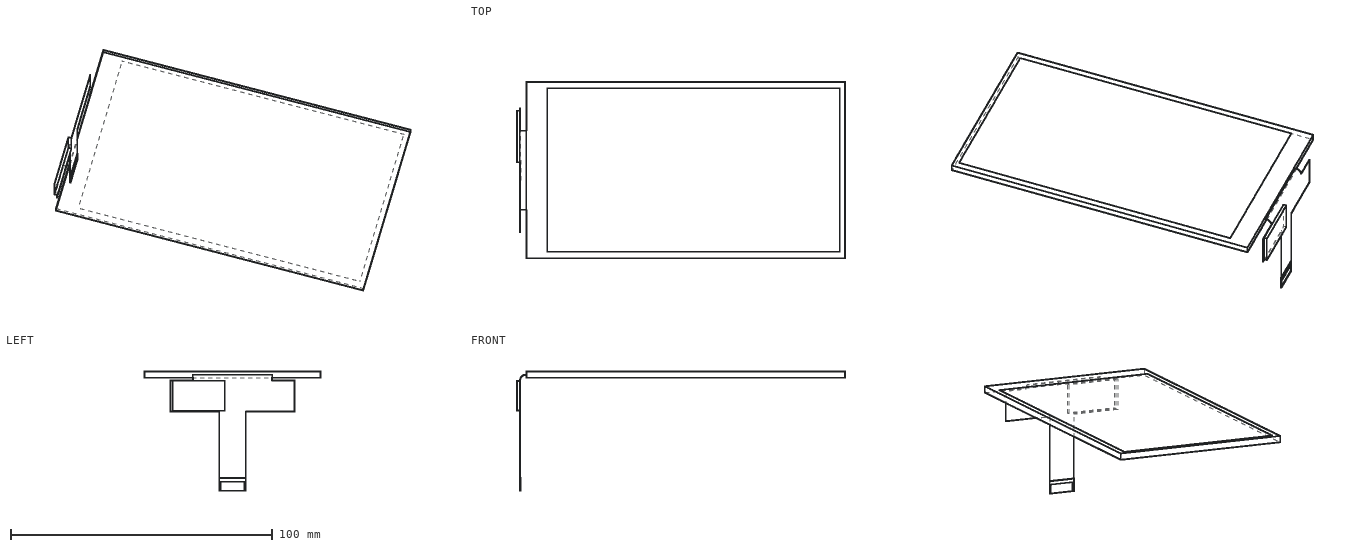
import cadquery as cq


total_length = 125.81
panel_length = 122.16
panel_width = 67.56
panel_thickness = 2.5

window_margin_left = 8.1
window_margin_right = 2.1
window_margin_side = 2.45
window_depth = 0.05

flex_thickness = 0.1
flex_top_drop = 1.25
bend_radius = 2.2
neck_width = 30.4
neck_overlap = 0.5

total_height = 45.77
crossbar_width = 47.5
crossbar_bottom_drop = 15.4
tail_width = 10.2

block_width = 19.9
block_height = 11.4
block_thickness = 1.2
block_top_gap = 0.15
block_side_gap = 0.9

stiffener_height = 5.0
stiffener_thickness = 0.2
bare_height = 4.8
cover_thickness = 0.03
contact_height = 3.5
contact_width = 9.1

flex_outer_x = block_thickness - (total_length - panel_length)
flex_inner_x = flex_outer_x + flex_thickness
flex_top_z = panel_thickness - flex_top_drop
bend_bottom_z = flex_top_z - bend_radius
crossbar_bottom_z = panel_thickness - crossbar_bottom_drop
tail_bottom_z = panel_thickness - total_height


def box(x_range, y_range, z_range):
    """Axis-aligned box between the given limits."""
    sizes = [high - low for low, high in (x_range, y_range, z_range)]
    corner = (x_range[0], y_range[0], z_range[0])
    return cq.Workplane("XY").box(*sizes, centered=False).translate(corner)


def centred(width):
    """Y limits of a feature centred on the part."""
    return (-width / 2, width / 2)


def make_panel():
    panel = box((0, panel_length), centred(panel_width), (0, panel_thickness))
    window = box(
        (window_margin_left, panel_length - window_margin_right),
        centred(panel_width - 2 * window_margin_side),
        (panel_thickness - window_depth, panel_thickness),
    )
    return panel.cut(window)


def make_bend():
    """Quarter-round strip joining the panel edge to the hanging sheet."""
    bend_end_x = flex_outer_x + bend_radius
    inner_radius = bend_radius - flex_thickness
    return (
        cq.Workplane("XZ", origin=(0, neck_width / 2, 0))
        .moveTo(neck_overlap, flex_top_z)
        .lineTo(bend_end_x, flex_top_z)
        .radiusArc((flex_outer_x, bend_bottom_z), -bend_radius)
        .lineTo(flex_inner_x, bend_bottom_z)
        .radiusArc((bend_end_x, flex_top_z - flex_thickness), inner_radius)
        .lineTo(neck_overlap, flex_top_z - flex_thickness)
        .close()
        .extrude(neck_width)
    )


def make_hanging_sheet():
    sheet_x = (flex_outer_x, flex_inner_x)
    crossbar = box(sheet_x, centred(crossbar_width), (crossbar_bottom_z, bend_bottom_z))
    tail = box(sheet_x, centred(tail_width), (tail_bottom_z, bend_bottom_z))
    return crossbar.union(tail)


def make_block():
    y_high = crossbar_width / 2 - block_side_gap
    z_high = bend_bottom_z - block_top_gap
    return box(
        (flex_outer_x - block_thickness, flex_outer_x),
        (y_high - block_width, y_high),
        (z_high - block_height, z_high),
    )


def add_plug_end(body):
    """Bare the tail's outer face, leave the contact pad and back it with a stiffener."""
    cover_x = (flex_outer_x, flex_outer_x + cover_thickness)
    cover = box(cover_x, centred(tail_width), (tail_bottom_z, tail_bottom_z + bare_height))
    contact = box(cover_x, centred(contact_width), (tail_bottom_z, tail_bottom_z + contact_height))
    stiffener = box(
        (flex_inner_x, flex_inner_x + stiffener_thickness),
        centred(tail_width),
        (tail_bottom_z, tail_bottom_z + stiffener_height),
    )
    return body.cut(cover).union(contact).union(stiffener)


body = make_panel().union(make_bend()).union(make_hanging_sheet()).union(make_block())
result = add_plug_end(body)